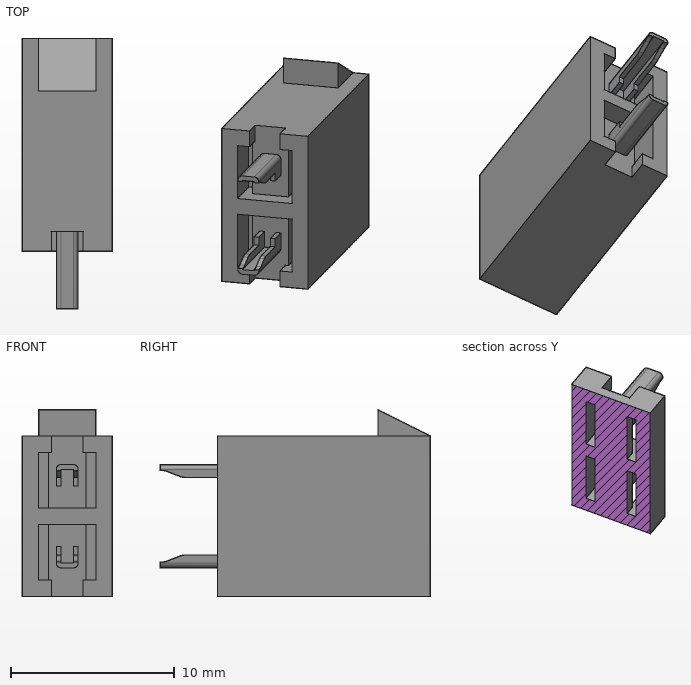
import cadquery as cq


TOTAL_LENGTH = 16.5
TOTAL_HEIGHT = 11.4

HOUSING_WIDTH = 5.5
HOUSING_LENGTH = 13.0
HOUSING_HEIGHT = 9.8
WALL = 1.0

CAVITY_WIDTH = HOUSING_WIDTH - 2 * WALL
CAVITY_HEIGHT = (HOUSING_HEIGHT - 3 * WALL) / 2
CAVITY_DEPTH = 1.2
SLOT_WIDTH = 0.6
SLOT_DEPTH = 2 * CAVITY_DEPTH
NOTCH_WIDTH = 1.93

LATCH_WIDTH = CAVITY_WIDTH
LATCH_LENGTH = 3.2
LATCH_HEIGHT = TOTAL_HEIGHT - HOUSING_HEIGHT

TERMINAL_WIDTH = 1.34
TERMINAL_REACH = TOTAL_LENGTH - HOUSING_LENGTH
TERMINAL_INSET = 1.75
SHEET = 0.3
TALL_LEG = 1.3
SHORT_LEG = 0.8
TIP_LEG = 0.36
TIP_LENGTH = 0.28
TAPER_LENGTH = 1.09
TAPER_RADIUS = 0.99


def front_box(width, depth, height, bottom):
    """Box centred on X that goes from the front face of the housing into it."""
    box = cq.Workplane("XY").box(width, depth, height, centered=(True, False, False))
    return box.translate((0, 0, bottom))


def make_latch():
    back = HOUSING_LENGTH
    return (
        cq.Workplane("YZ")
        .moveTo(back, HOUSING_HEIGHT)
        .lineTo(back - LATCH_LENGTH, HOUSING_HEIGHT)
        .lineTo(back - LATCH_LENGTH, HOUSING_HEIGHT + LATCH_HEIGHT)
        .close()
        .extrude(LATCH_WIDTH / 2, both=True)
    )


def make_cavity(bottom):
    """Rectangular recess with a deeper slot along each side wall."""
    cavity = front_box(CAVITY_WIDTH, CAVITY_DEPTH, CAVITY_HEIGHT, bottom)
    slot = front_box(SLOT_WIDTH, SLOT_DEPTH, CAVITY_HEIGHT, bottom)
    slot_x = (CAVITY_WIDTH - SLOT_WIDTH) / 2
    for side in (-1, 1):
        cavity = cavity.union(slot.translate((side * slot_x, 0, 0)))
    return cavity


def make_housing():
    body = front_box(HOUSING_WIDTH, HOUSING_LENGTH, HOUSING_HEIGHT, 0).union(make_latch())
    for cavity_bottom in (WALL, 2 * WALL + CAVITY_HEIGHT):
        body = body.cut(make_cavity(cavity_bottom))
    for notch_bottom in (0, HOUSING_HEIGHT - WALL):
        body = body.cut(front_box(NOTCH_WIDTH, CAVITY_DEPTH, WALL, notch_bottom))
    return body


def make_lower_terminal():
    """U channel open upwards, with legs that step down at the housing and taper to the tip."""
    length = TERMINAL_REACH + CAVITY_DEPTH
    web_bottom = TERMINAL_INSET
    tip = -TERMINAL_REACH
    taper_end = tip + TIP_LENGTH
    taper_start = taper_end + TAPER_LENGTH
    channel = (
        front_box(TERMINAL_WIDTH, length, TALL_LEG, web_bottom)
        .edges("|Y and <Z")
        .fillet(SHEET)
        .cut(front_box(TERMINAL_WIDTH - 2 * SHEET, length, TALL_LEG, web_bottom + SHEET))
        .translate((0, tip, 0))
    )
    side_outline = (
        cq.Workplane("YZ")
        .moveTo(tip, web_bottom)
        .lineTo(CAVITY_DEPTH, web_bottom)
        .lineTo(CAVITY_DEPTH, web_bottom + TALL_LEG)
        .lineTo(0, web_bottom + TALL_LEG)
        .lineTo(0, web_bottom + SHORT_LEG)
        .lineTo(taper_start, web_bottom + SHORT_LEG)
        .lineTo(taper_end, web_bottom + TIP_LEG)
        .lineTo(tip, web_bottom + TIP_LEG)
        .close()
        .extrude(TERMINAL_WIDTH / 2, both=True)
        .edges(cq.selectors.NearestToPointSelector((0, taper_start, web_bottom + SHORT_LEG)))
        .fillet(TAPER_RADIUS)
        .edges(cq.selectors.NearestToPointSelector((0, taper_end, web_bottom + TIP_LEG)))
        .fillet(TAPER_RADIUS)
    )
    return channel.intersect(side_outline)


def make_terminals():
    """The lower terminal and its mirror image about the middle height of the housing."""
    lower = make_lower_terminal()
    upper = lower.mirror("XY", (0, 0, HOUSING_HEIGHT / 2))
    return [lower, upper]


housing = make_housing()
terminals = make_terminals()

result = cq.Compound.makeCompound([housing.val(), *[terminal.val() for terminal in terminals]])